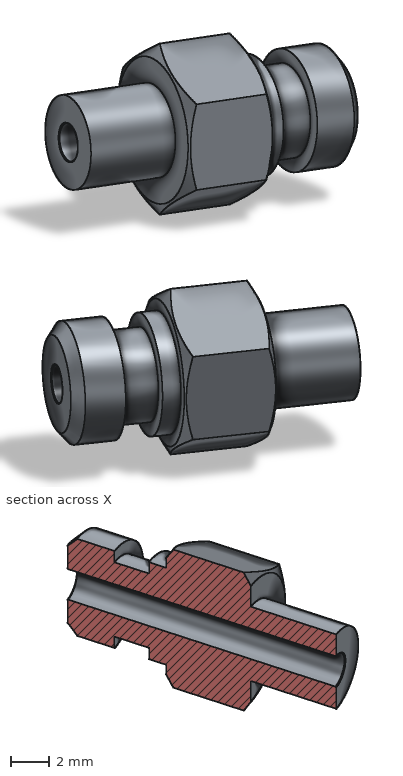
import cadquery as cq
import math

total_length = 15.75
tube_length = 5.0
hex_length = 5.0
collar_length = 1.0
neck_length = 2.0

tube_diameter = 5.0
neck_diameter = tube_diameter
head_diameter = 6.5
collar_diameter = head_diameter
bore_diameter = 2.0
hex_across_flats = 8.0
hex_across_corners = hex_across_flats / math.cos(math.radians(30))

hex_face_diameter = 7.75
hex_chamfer_angle = 30.0
head_chamfer_length = 0.58
head_chamfer_depth = 0.68
bore_chamfer = 0.05

hex_start = tube_length
hex_end = hex_start + hex_length
collar_end = hex_end + collar_length
neck_end = collar_end + neck_length


def revolve_about_y(points):
    """Revolve a closed (radius, y) outline around the part axis."""
    return cq.Workplane("XY").polyline(points).close().revolve(360, (0, 0, 0), (0, 1, 0))


def cylinder(diameter, start, end):
    radius = diameter / 2
    return revolve_about_y([(0, start), (radius, start), (radius, end), (0, end)])


def hexagon():
    """Hexagon with flats facing +X and -X, its corners turned off at both ends."""
    prism = (
        cq.Workplane("XZ", origin=(0, hex_start, 0))
        .polygon(6, hex_across_corners)
        .extrude(-hex_length)
        .rotate((0, 0, 0), (0, 1, 0), 30)
    )
    face_radius = hex_face_diameter / 2
    outer_radius = hex_across_corners / 2
    chamfer_length = (outer_radius - face_radius) * math.tan(math.radians(hex_chamfer_angle))
    envelope = revolve_about_y([
        (0, hex_start),
        (face_radius, hex_start),
        (outer_radius, hex_start + chamfer_length),
        (outer_radius, hex_end - chamfer_length),
        (face_radius, hex_end),
        (0, hex_end),
    ])
    return prism.intersect(envelope)


def head():
    """Cylindrical head with a chamfered outer end."""
    radius = head_diameter / 2
    return revolve_about_y([
        (0, neck_end),
        (radius, neck_end),
        (radius, total_length - head_chamfer_length),
        (radius - head_chamfer_depth, total_length),
        (0, total_length),
    ])


def bore():
    """Through bore with a small chamfer at each end."""
    radius = bore_diameter / 2
    mouth_radius = radius + bore_chamfer
    return revolve_about_y([
        (0, 0),
        (mouth_radius, 0),
        (radius, bore_chamfer),
        (radius, total_length - bore_chamfer),
        (mouth_radius, total_length),
        (0, total_length),
    ])


tube = cylinder(tube_diameter, 0, hex_start)
collar = cylinder(collar_diameter, hex_end, collar_end)
neck = cylinder(neck_diameter, collar_end, neck_end)

result = tube.union(hexagon()).union(collar).union(neck).union(head()).cut(bore())